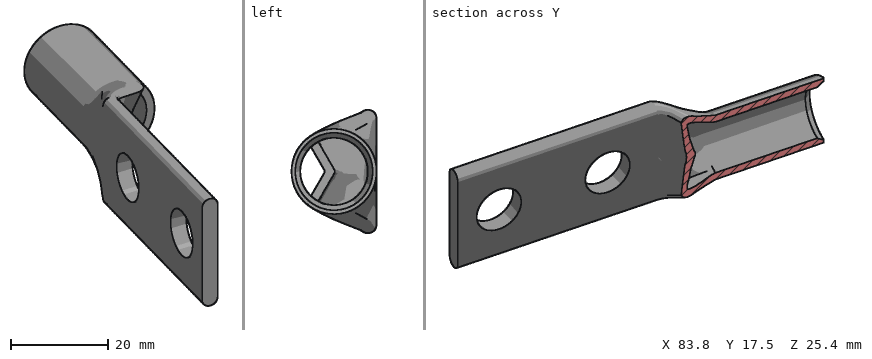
import cadquery as cq
import math

length = 83.8
barrel_diameter = 17.5
tongue_width = 25.4

barrel_length = 25.4
wall = 1.85
mouth_diameter = 15.9
mouth_depth = 1.6

neck_end = 37.1
tongue_thickness = 3.6
hole_diameter = 10.4
hole_spacing = 25.4
first_hole_x = 48.8

fold_apex_y = 1.85
fold_half_angle = 60.0
front_edge_y = -3.5
fold_delay = 1.2
widening_ease = 0.4
fold_radius = 0.7
slit_gap = 0.1
slit_width = tongue_width - 2 * wall
neck_steps = 6

outer_radius = barrel_diameter / 2
bore_radius = outer_radius - wall
tongue_middle_y = -outer_radius + tongue_thickness / 2


def ease(t):
    """S-shaped progress from 0 to 1 with flat ends."""
    return t * t * (3 - 2 * t)


def neck_start_points(radius, apex_y):
    """Points across the +Z half of the folded tube, as (y, z).

    They are the fold apex, the end of its rounding, the fold tip, the side middle,
    the front edge and the front middle.
    """
    angle = math.radians(fold_half_angle)
    along = math.cos(angle) * apex_y
    reach = -along + math.sqrt(along ** 2 + radius ** 2 - apex_y ** 2)
    tip = (apex_y + reach * math.cos(angle), reach * math.sin(angle))
    edge_y = front_edge_y * radius / outer_radius
    edge = (edge_y, math.sqrt(radius ** 2 - edge_y ** 2))
    middle_angle = (math.atan2(tip[1], tip[0]) + math.atan2(edge[1], edge[0])) / 2
    side = (radius * math.cos(middle_angle), radius * math.sin(middle_angle))
    arc_middle_y = apex_y + fold_radius * (1 / math.sin(angle) - 1)
    arc_end = (apex_y + fold_radius * math.cos(angle) / math.tan(angle), fold_radius * math.cos(angle))
    return [(arc_middle_y, 0), arc_end, tip, side, edge, (-radius, 0)]


def neck_end_points(width, half_thickness):
    """The same points once the tube is flat."""
    back_y = tongue_middle_y + half_thickness
    front_y = tongue_middle_y - half_thickness
    edge_z = width / 2 - half_thickness
    side = (tongue_middle_y, edge_z + half_thickness)
    return [(back_y, 0), (back_y, fold_radius), (back_y, edge_z), side, (front_y, edge_z), (front_y, 0)]


def neck_section(t, start, end):
    """Closed wire across the neck at fraction t of its length."""
    x = barrel_length + t * (neck_end - barrel_length)
    even = widening_ease * ease(t) + (1 - widening_ease) * t
    late = ease(t ** fold_delay)
    progress = [late, late, late, even, even, even]
    upper = []
    lower = []
    for (y0, z0), (y1, z1), p in zip(start, end, progress):
        y = y0 + p * (y1 - y0)
        z = z0 + p * (z1 - z0)
        upper.append(cq.Vector(x, y, z))
        lower.append(cq.Vector(x, y, -z))
    apex, fold, tip, side, edge, front = upper
    _, low_fold, low_tip, low_side, low_edge, _ = lower
    if t < 1:
        front_face = cq.Edge.makeThreePointArc(edge, front, low_edge)
        rounding = cq.Edge.makeThreePointArc(low_fold, apex, fold)
    else:
        front_face = cq.Edge.makeLine(edge, low_edge)
        rounding = cq.Edge.makeLine(low_fold, fold)
    return cq.Wire.assembleEdges([
        rounding,
        cq.Edge.makeLine(fold, tip),
        cq.Edge.makeThreePointArc(tip, side, edge),
        front_face,
        cq.Edge.makeThreePointArc(low_edge, low_side, low_tip),
        cq.Edge.makeLine(low_tip, low_fold),
    ])


def neck_loft(radius, apex_y, end_width, end_thickness):
    start = neck_start_points(radius, apex_y)
    end = neck_end_points(end_width, end_thickness / 2)
    sections = [neck_section(i / neck_steps, start, end) for i in range(neck_steps + 1)]
    return cq.Workplane(cq.Solid.makeLoft(sections))


def make_neck():
    inner_apex_y = fold_apex_y - wall / math.sin(math.radians(fold_half_angle))
    outside = neck_loft(outer_radius, fold_apex_y, tongue_width, tongue_thickness)
    cavity = neck_loft(bore_radius, inner_apex_y, slit_width, slit_gap)
    return outside.cut(cavity)


def make_barrel():
    profile = [
        (0, mouth_diameter / 2),
        (0, outer_radius),
        (barrel_length, outer_radius),
        (barrel_length, bore_radius),
        (mouth_depth, bore_radius),
    ]
    return cq.Workplane("XY").polyline(profile).close().revolve(360, (0, 0, 0), (1, 0, 0))


def make_tongue():
    tongue = (
        cq.Workplane("YZ", origin=(neck_end, tongue_middle_y, 0))
        .slot2D(tongue_width, tongue_thickness, 90)
        .extrude(length - neck_end)
    )
    holes = (
        cq.Workplane("XZ")
        .pushPoints([(first_hole_x, 0), (first_hole_x + hole_spacing, 0)])
        .circle(hole_diameter / 2)
        .extrude(barrel_diameter, both=True)
    )
    return tongue.cut(holes)


result = make_barrel().union(make_neck()).union(make_tongue())